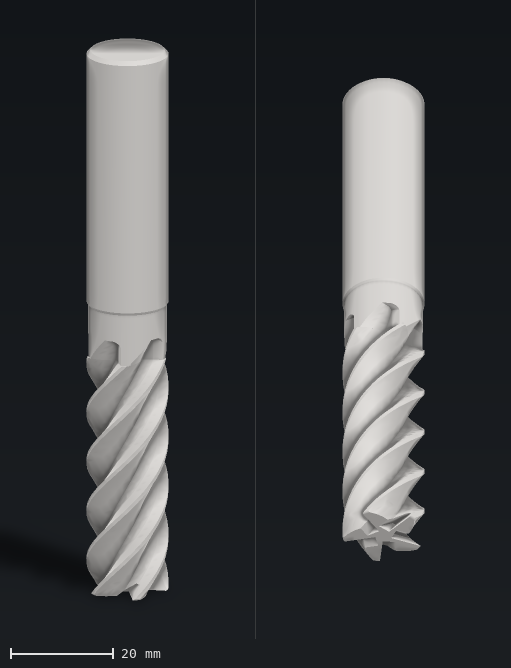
import cadquery as cq
import math

TOTAL_LENGTH = 110.0
SHANK_DIAMETER = 16.0
SHANK_TOP_CHAMFER = 0.8
SHANK_BOTTOM_Z = 58.7
NECK_DIAMETER = 15.3
NECK_TOP_Z = 58.2

CUTTER_DIAMETER = 16.0
CUTTER_LENGTH = 47.8
CORE_RADIUS = 4.4

TOOTH_COUNT = 5
HELIX_ANGLE = 45.0
FIRST_EDGE_ANGLE = 255.0
FLUTE_BOTTOM_AHEAD = 23.0
HOLLOW_END_RADIUS = 6.0
HOLLOW_END_AHEAD = 8.0
HOLLOW_MID_RADIUS = 4.8
HOLLOW_MID_AHEAD = 15.0
MARGIN_BEHIND = 7.0
BACK_MID_RADIUS = 6.0
BACK_MID_BEHIND = 27.0

RUNOUT_HEIGHT = 4.8
RUNOUT_CORNER_RADIUS = 2.0

CORNER_RADIUS = 0.4
GASH_DEPTH = 2.8
GASH_AHEAD = 2.6
GASH_BEHIND = 1.6
GASH_FLOOR_WIDTH = 0.7
GASH_INNER_RADIUS = 1.6

SHANK_RADIUS = SHANK_DIAMETER / 2
NECK_RADIUS = NECK_DIAMETER / 2
CUTTER_RADIUS = CUTTER_DIAMETER / 2
CLEAR_RADIUS = CUTTER_RADIUS + 1.1
ARC_MID_OFFSET = 1 - math.sqrt(0.5)
TOOTH_PITCH = 360.0 / TOOTH_COUNT
LEAD = math.pi * CUTTER_DIAMETER / math.tan(math.radians(HELIX_ANGLE))
TWIST_PER_LENGTH = 360.0 / LEAD
EDGE_ANGLES = [FIRST_EDGE_ANGLE + i * TOOTH_PITCH for i in range(TOOTH_COUNT)]
JOINT_TWIST = CUTTER_LENGTH * TWIST_PER_LENGTH


def polar(radius, angle):
    radians = math.radians(angle)
    return radius * math.cos(radians), radius * math.sin(radians)


def add_rake(outline, edge):
    """Flute bottom to cutting edge: a hollow, then the flat rake face."""
    outline = outline.threePointArc(
        polar(HOLLOW_MID_RADIUS, edge - HOLLOW_MID_AHEAD),
        polar(HOLLOW_END_RADIUS, edge - HOLLOW_END_AHEAD),
    )
    return outline.lineTo(*polar(CUTTER_RADIUS, edge))


def add_back(outline, edge):
    """Rear of the margin to the next flute bottom."""
    return outline.threePointArc(
        polar(BACK_MID_RADIUS, edge + BACK_MID_BEHIND),
        polar(CORE_RADIUS, edge + TOOTH_PITCH - FLUTE_BOTTOM_AHEAD),
    )


def tooth_section():
    """Whole cross-section of the cutter at its end face, counterclockwise."""
    outline = cq.Workplane("XY").moveTo(*polar(CORE_RADIUS, FIRST_EDGE_ANGLE - FLUTE_BOTTOM_AHEAD))
    for edge in EDGE_ANGLES:
        outline = add_rake(outline, edge)
        outline = outline.threePointArc(
            polar(CUTTER_RADIUS, edge + MARGIN_BEHIND / 2),
            polar(CUTTER_RADIUS, edge + MARGIN_BEHIND),
        )
        outline = add_back(outline, edge)
    return outline.close()


def flute_section(edge):
    """Open space of one flute, ahead of the given cutting edge."""
    margin_rear = edge - TOOTH_PITCH + MARGIN_BEHIND
    outline = cq.Workplane("XY", origin=(0, 0, CUTTER_LENGTH)).moveTo(*polar(CUTTER_RADIUS, margin_rear))
    outline = add_rake(add_back(outline, edge - TOOTH_PITCH), edge)
    return outline.threePointArc(
        polar(CLEAR_RADIUS, (edge + margin_rear) / 2), polar(CUTTER_RADIUS, margin_rear)
    ).close()


def make_runout(edge):
    """End of one flute: helical on one side, upright on the other, rounded at the top."""
    twisted = flute_section(edge).twistExtrude(RUNOUT_HEIGHT, RUNOUT_HEIGHT * TWIST_PER_LENGTH)
    upright = flute_section(edge).extrude(RUNOUT_HEIGHT)
    round_offset = RUNOUT_CORNER_RADIUS * ARC_MID_OFFSET
    envelope = (
        cq.Workplane("YZ", origin=(0, 0, CUTTER_LENGTH))
        .lineTo(0, RUNOUT_HEIGHT - RUNOUT_CORNER_RADIUS)
        .threePointArc(
            (-round_offset, RUNOUT_HEIGHT - round_offset), (-RUNOUT_CORNER_RADIUS, RUNOUT_HEIGHT)
        )
        .lineTo(-2 * CUTTER_RADIUS, RUNOUT_HEIGHT)
        .lineTo(-2 * CUTTER_RADIUS, 0)
        .close()
        .extrude(CLEAR_RADIUS)
        .rotate((0, 0, 0), (0, 0, 1), edge)
    )
    return twisted.intersect(upright).intersect(envelope)


def make_shank():
    shank = (
        cq.Workplane("XZ")
        .moveTo(0, CUTTER_LENGTH)
        .lineTo(NECK_RADIUS, CUTTER_LENGTH)
        .lineTo(NECK_RADIUS, NECK_TOP_Z)
        .lineTo(SHANK_RADIUS, SHANK_BOTTOM_Z)
        .lineTo(SHANK_RADIUS, TOTAL_LENGTH - SHANK_TOP_CHAMFER)
        .lineTo(SHANK_RADIUS - SHANK_TOP_CHAMFER, TOTAL_LENGTH)
        .lineTo(0, TOTAL_LENGTH)
        .close()
        .revolve()
    )
    for edge in EDGE_ANGLES:
        shank = shank.cut(make_runout(edge + JOINT_TWIST))
    return shank


def make_corner_ring():
    """Material outside the rounded corners of the end teeth."""
    round_offset = CORNER_RADIUS * ARC_MID_OFFSET
    return (
        cq.Workplane("XZ")
        .moveTo(CUTTER_RADIUS - CORNER_RADIUS, 0)
        .lineTo(CLEAR_RADIUS, 0)
        .lineTo(CLEAR_RADIUS, CORNER_RADIUS)
        .lineTo(CUTTER_RADIUS, CORNER_RADIUS)
        .threePointArc(
            (CUTTER_RADIUS - round_offset, round_offset), (CUTTER_RADIUS - CORNER_RADIUS, 0)
        )
        .close()
        .revolve()
    )


def make_gash(edge):
    """Narrow-floored notch in the end face, undercutting one cutting edge along the helix."""
    return (
        cq.Workplane("YZ", origin=(GASH_INNER_RADIUS, 0, 0))
        .lineTo(GASH_BEHIND, GASH_DEPTH)
        .lineTo(GASH_BEHIND - GASH_FLOOR_WIDTH, GASH_DEPTH)
        .lineTo(-GASH_AHEAD, 0)
        .close()
        .extrude(CLEAR_RADIUS - GASH_INNER_RADIUS)
        .rotate((0, 0, 0), (0, 0, 1), edge)
    )


def make_cutter():
    cutter = tooth_section().twistExtrude(CUTTER_LENGTH, JOINT_TWIST)
    cutter = cutter.cut(make_corner_ring())
    for edge in EDGE_ANGLES:
        cutter = cutter.cut(make_gash(edge))
    return cutter


shank = make_shank()
cutter = make_cutter()
result = cq.Compound.makeCompound([shank.solids().val(), cutter.solids().val()])